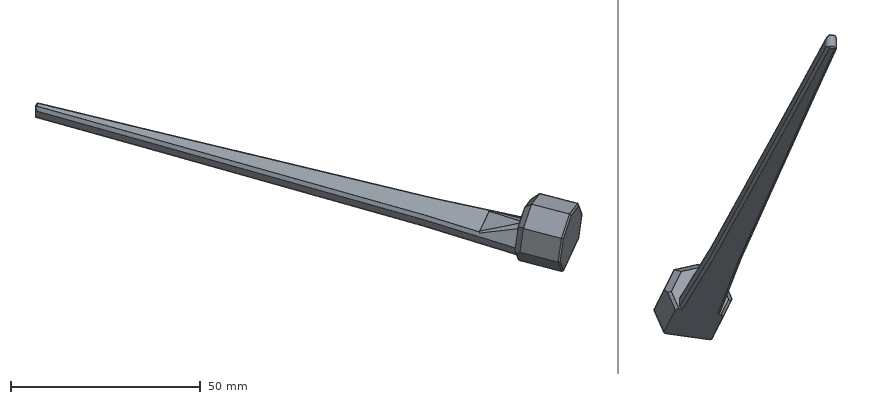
import cadquery as cq
import math

length = 149.5
head_length = 13.0
head_start = length - head_length

head_radius = 9.3
octagon_sides = 8
shoulder = head_radius * math.sin(math.pi / 4)
head_axis_z = shoulder
front_chamfer = 2.0
lower_chamfer = 0.7
rear_chamfer = 0.5

blade_stations = [(0.0, 1.42), (31.1, 2.1), (109.6, 4.0), (head_start, 5.5)]
overlap = 3.0
blade_thickness = 4.2
side_top_z = 3.3
bottom_chamfer = 0.7
tip_chamfer = 0.5
tip_radius = 1.5

ramp_start = 125.3
ramp_top_z = 7.9
ramp_facet_depth = 0.12
cutter_size = 1.5


def head_prism():
    """Seven-sided prism with its bottom side on Z = 0."""
    step = 2 * math.pi / octagon_sides
    angles = [-math.pi / 4 + i * step for i in range(octagon_sides - 1)]
    corners = [(head_radius * math.cos(a), head_axis_z + head_radius * math.sin(a)) for a in angles]
    return cq.Workplane("YZ").workplane(offset=head_start).polyline(corners).close().extrude(head_length)


def make_head():
    """Head with a wide upper front bevel, narrow lower ones and a small rear one."""
    head = head_prism().faces(">X").edges("not <Z").chamfer(rear_chamfer)
    side_angle = math.pi / octagon_sides
    apothem = head_radius * math.cos(side_angle)
    for i in range(-1, octagon_sides // 2 + 1):
        angle = (2 * i + 1) * side_angle
        bevel = lower_chamfer if math.sin(angle) < 0 else front_chamfer
        wedge = (
            cq.Workplane("XY")
            .polyline([
                (head_start - bevel, apothem - 2 * bevel),
                (head_start + bevel, apothem),
                (head_start + bevel, apothem + bevel),
                (head_start - bevel, apothem + bevel),
            ])
            .close()
            .extrude(head_radius, both=True)
            .rotate((0, 0, 0), (1, 0, 0), math.degrees(angle))
            .translate((0, 0, head_axis_z))
        )
        head = head.cut(wedge)
    return head


def blade_section(half_width):
    """Upright sides with bevelled lower corners under a 45-degree roof."""
    floor = half_width - bottom_chamfer
    return [
        (-floor, 0), (floor, 0), (half_width, bottom_chamfer), (half_width, side_top_z),
        (0, side_top_z + half_width), (-half_width, side_top_z), (-half_width, bottom_chamfer),
    ]


def station_wire(x, half_width):
    points = [cq.Vector(x, y, z) for y, z in blade_section(half_width)]
    return cq.Wire.makePolygon(points, close=True)


def roof_half_width(half_width, z):
    """Distance from the mid-plane to the 45-degree roof at height z."""
    return side_top_z + half_width - z


def ramp_facet_cutter(start, end):
    """Bar that planes a narrow facet along the edge between ramp and roof on the +Y side."""
    along = (end - start).normalized()
    ramp_normal = cq.Vector(start.z - end.z, 0, end.x - start.x).normalized()
    roof_normal = cq.Vector(0, 1, 1).normalized()
    facet_normal = (ramp_normal + roof_normal).normalized()
    base = start - facet_normal * ramp_facet_depth
    plane = cq.Plane(origin=base, xDir=along, normal=facet_normal)
    reach = (end - start).Length
    return (
        cq.Workplane(plane)
        .box(reach, cutter_size, cutter_size, centered=(False, True, False))
    )


def make_blade():
    """Tapered roofed bar, trimmed by its side profile and rounded at the tip."""
    (previous_x, previous_width), (end_x, end_width) = blade_stations[-2:]
    flare = (end_width - previous_width) / (end_x - previous_x)
    blade_end = head_start + overlap
    stations = blade_stations[:-1] + [(blade_end, end_width + flare * overlap)]
    bar = cq.Workplane(cq.Solid.makeLoft([station_wire(x, w) for x, w in stations], True))

    ramp_slope = (ramp_top_z - blade_thickness) / (head_start - ramp_start)
    profile = (
        cq.Workplane("XZ")
        .polyline([
            (tip_chamfer, 0), (blade_end, 0), (blade_end, ramp_top_z + ramp_slope * overlap),
            (ramp_start, blade_thickness), (tip_chamfer, blade_thickness),
            (0, blade_thickness - tip_chamfer), (0, tip_chamfer),
        ])
        .close()
        .extrude(head_radius, both=True)
    )
    blade = bar.intersect(profile)

    ramp_start_width = previous_width + flare * (ramp_start - previous_x)
    ramp_edge_start = cq.Vector(ramp_start, roof_half_width(ramp_start_width, blade_thickness), blade_thickness)
    ramp_edge_end = cq.Vector(head_start, roof_half_width(end_width, ramp_top_z), ramp_top_z)
    facet = ramp_facet_cutter(ramp_edge_start, ramp_edge_end)
    blade = blade.cut(facet).cut(facet.mirror("XZ"))

    nose = (
        cq.Workplane("XY")
        .moveTo(tip_radius, -tip_radius)
        .threePointArc((0, 0), (tip_radius, tip_radius))
        .lineTo(tip_radius, head_radius)
        .lineTo(blade_end, head_radius)
        .lineTo(blade_end, -head_radius)
        .lineTo(tip_radius, -head_radius)
        .close()
        .extrude(2 * head_radius)
    )
    return blade.intersect(nose)


result = make_head().union(make_blade())